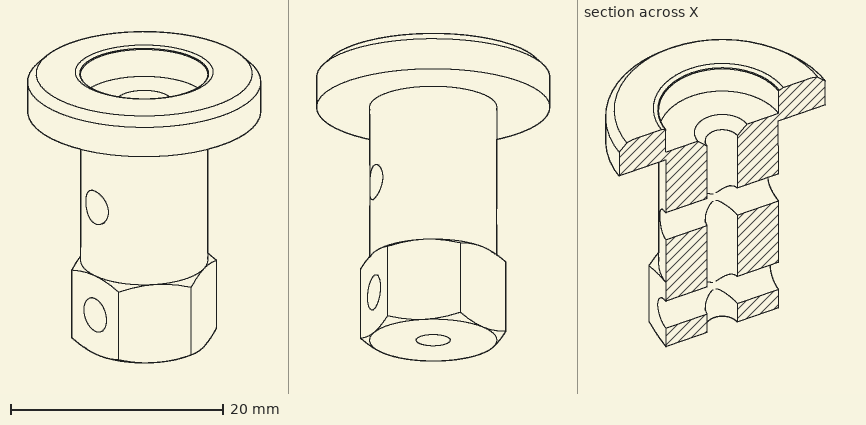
import cadquery as cq
import math

total_height = 27.24
hex_height = 8.0
head_height = 4.0
head_bottom = total_height - head_height

across_flats = 12.0
flat_half_angle = 30.0
hex_corner_radius = across_flats / 2 / math.cos(math.radians(flat_half_angle))
hex_chamfer_angle = 30.0
shank_diameter = 12.0

head_diameter = 22.0
head_radius = head_diameter / 2
rim_drop = 1.0
bevel_angle = 45.0
bevel_inner_radius = 10.18
break_inner_radius = 9.97
break_drop = 0.1
crown_inner_radius = 9.5

recess_diameter = 12.0
recess_radius = recess_diameter / 2
recess_depth = 3.0
recess_mouth_radius = 6.5
recess_lip_radius = 6.08
recess_lip_drop = 0.17
recess_mouth_drop = 0.25

bore_diameter = 3.21
countersink_diameter = 5.25
countersink_angle = 90.0

cross_hole_diameter = 3.33
hex_cross_hole_z = hex_height / 2
shank_cross_hole_z = 15.0


def make_hexagon():
    """Hexagon with flats facing +Y and -Y, its corners chamfered at both ends."""
    prism = cq.Workplane("XY").polygon(6, 2 * hex_corner_radius).extrude(hex_height)
    end_radius = across_flats / 2
    chamfer_height = (hex_corner_radius - end_radius) * math.tan(math.radians(hex_chamfer_angle))
    envelope = (
        cq.Workplane("XZ")
        .moveTo(0, 0)
        .lineTo(end_radius, 0)
        .lineTo(hex_corner_radius, chamfer_height)
        .lineTo(hex_corner_radius, hex_height - chamfer_height)
        .lineTo(end_radius, hex_height)
        .lineTo(0, hex_height)
        .close()
        .revolve(360, (0, 0), (0, 1))
    )
    return prism.intersect(envelope)


def make_shank():
    """Plain cylinder joining the hexagon to the head."""
    return (
        cq.Workplane("XY")
        .workplane(offset=hex_height)
        .circle(shank_diameter / 2)
        .extrude(head_bottom - hex_height)
    )


def make_head():
    """Disc whose upper rim steps in through three conical bands."""
    bevel_drop = rim_drop - (head_radius - bevel_inner_radius) * math.tan(math.radians(bevel_angle))
    return (
        cq.Workplane("XZ")
        .moveTo(0, head_bottom)
        .lineTo(head_radius, head_bottom)
        .lineTo(head_radius, total_height - rim_drop)
        .lineTo(bevel_inner_radius, total_height - bevel_drop)
        .lineTo(break_inner_radius, total_height - break_drop)
        .lineTo(crown_inner_radius, total_height)
        .lineTo(0, total_height)
        .close()
        .revolve(360, (0, 0), (0, 1))
    )


def make_axial_cut():
    """Recess, countersink and through bore as one turned shape."""
    bore_radius = bore_diameter / 2
    countersink_radius = countersink_diameter / 2
    recess_floor = total_height - recess_depth
    countersink_depth = (countersink_radius - bore_radius) / math.tan(math.radians(countersink_angle / 2))
    return (
        cq.Workplane("XZ")
        .moveTo(0, 0)
        .lineTo(bore_radius, 0)
        .lineTo(bore_radius, recess_floor - countersink_depth)
        .lineTo(countersink_radius, recess_floor)
        .lineTo(recess_radius, recess_floor)
        .lineTo(recess_radius, total_height - recess_mouth_drop)
        .lineTo(recess_lip_radius, total_height - recess_lip_drop)
        .lineTo(recess_mouth_radius, total_height)
        .lineTo(0, total_height)
        .close()
        .revolve(360, (0, 0), (0, 1))
    )


def make_cross_hole(height):
    """Hole running right through the part along Y."""
    return (
        cq.Workplane("XZ")
        .center(0, height)
        .circle(cross_hole_diameter / 2)
        .extrude(head_radius, both=True)
    )


result = make_hexagon().union(make_shank()).union(make_head())
result = result.cut(make_axial_cut())
for hole_z in (hex_cross_hole_z, shank_cross_hole_z):
    result = result.cut(make_cross_hole(hole_z))